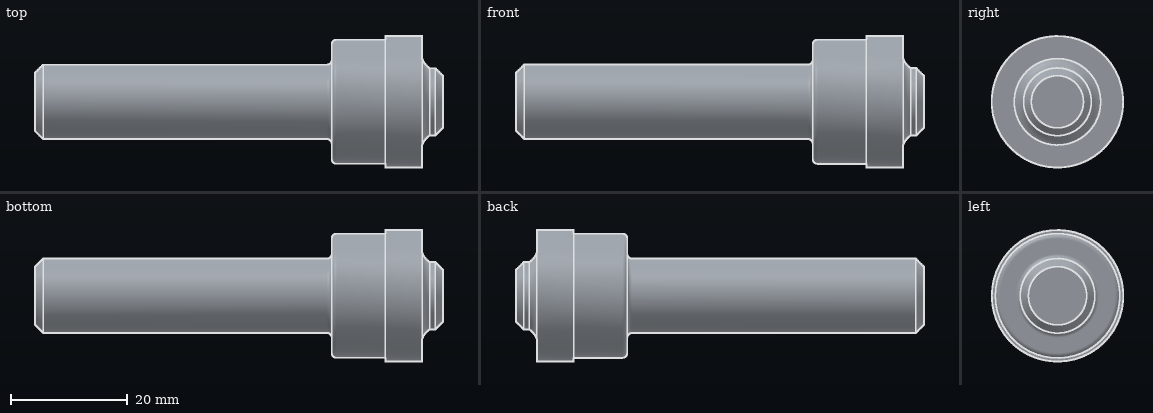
import cadquery as cq

total_length = 69.85
collar_start = 50.8
head_start = 60.0
head_end = 66.3

shank_diameter = 12.8
collar_diameter = 21.3
head_diameter = 22.55
tip_diameter = 11.6

shank_chamfer = 1.4
shank_root_fillet = 0.8
collar_round = 0.85
tip_flare_length = 1.25
tip_flare_height = 1.6
tip_flare_radius = 3.5
tip_chamfer = 1.3

shank_radius = shank_diameter / 2
collar_radius = collar_diameter / 2
head_radius = head_diameter / 2
tip_radius = tip_diameter / 2


def turned_profile():
    """Half section in the XY plane, with Y as the radius from the X axis."""
    return (
        cq.Workplane("XY")
        .moveTo(0, 0)
        .lineTo(0, shank_radius - shank_chamfer)
        .lineTo(shank_chamfer, shank_radius)
        .lineTo(collar_start - shank_root_fillet, shank_radius)
        .radiusArc((collar_start, shank_radius + shank_root_fillet), -shank_root_fillet)
        .lineTo(collar_start, collar_radius - collar_round)
        .radiusArc((collar_start + collar_round, collar_radius), collar_round)
        .lineTo(head_start, collar_radius)
        .lineTo(head_start, head_radius)
        .lineTo(head_end, head_radius)
        .lineTo(head_end, tip_radius + tip_flare_height)
        .radiusArc((head_end + tip_flare_length, tip_radius), -tip_flare_radius)
        .lineTo(total_length - tip_chamfer, tip_radius)
        .lineTo(total_length, tip_radius - tip_chamfer)
        .lineTo(total_length, 0)
        .close()
    )


result = turned_profile().revolve(360, (0, 0, 0), (1, 0, 0))